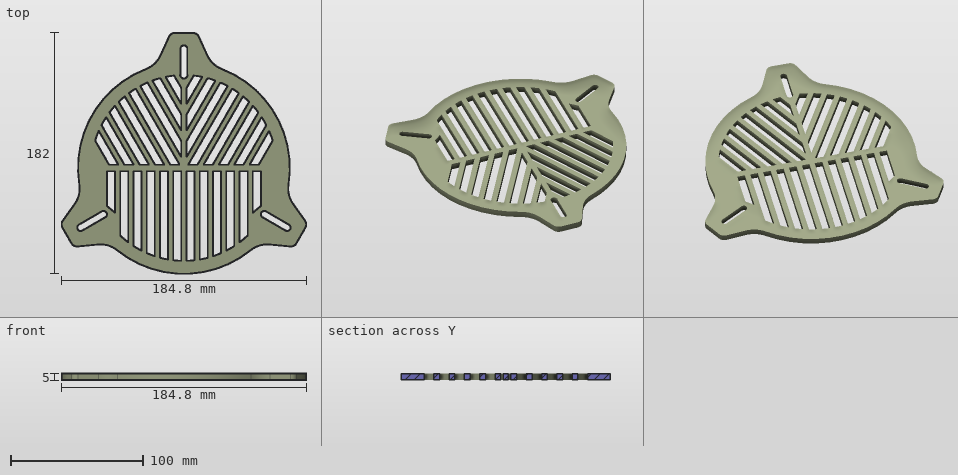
import cadquery as cq
import math

thickness = 5.0
disc_radius = 80.0
lug_angles = (90, 210, 330)
match_tolerance = 0.02

lug_tip_reach = 102.0
lug_tip_half_width = 10.0
lug_taper = math.radians(24.5)
lug_root_reach = 70.2
lug_tip_fillet = 5.0
lug_root_fillet = 20.0

lug_slot_width = 5.0
lug_slot_inner_center = 70.0
lug_slot_outer_center = 90.0

field_radius = 70.0
slit_width = 6.0
spine_width = 4.0
cross_bar_width = 5.0
straight_grille_half_width = 58.0
straight_slits_per_side = 6
first_to_last_slit = straight_grille_half_width - spine_width / 2 - slit_width
slit_pitch = first_to_last_slit / (straight_slits_per_side - 1)

outer_slit_outer_depth = 28.7
outer_slit_inner_depth = 33.6

slant_angle = 60
slant_middle_offset = 4.6
slanted_slits_beside_middle = 4


def make_lug():
    """Lug blank pointing along +Y, with its root buried in the disc."""
    root_half_width = lug_tip_half_width + (lug_tip_reach - lug_root_reach) * math.tan(lug_taper)
    outline = [
        (-root_half_width, lug_root_reach),
        (-lug_tip_half_width, lug_tip_reach),
        (lug_tip_half_width, lug_tip_reach),
        (root_half_width, lug_root_reach),
    ]
    lug = cq.Workplane("XY").polyline(outline).close().extrude(thickness)
    return lug.faces(">Y").edges("|Z").fillet(lug_tip_fillet)


def is_lug_root(edge):
    """True for the upright edges where a lug side meets the disc rim."""
    center = edge.Center()
    return abs(math.hypot(center.x, center.y) - disc_radius) < match_tolerance


def make_plate():
    """Disc and lugs; the disc is turned so that its seam lies under the +Y lug."""
    plate = cq.Workplane("XY").circle(disc_radius).extrude(thickness)
    plate = plate.rotate((0, 0, 0), (0, 0, 1), 90)
    lug = make_lug()
    for angle in lug_angles:
        plate = plate.union(lug.rotate((0, 0, 0), (0, 0, 1), angle - 90))
    return plate.edges("|Z").filter(is_lug_root).fillet(lug_root_fillet)


def make_lug_slots():
    """Radial round-ended slots, one per lug."""
    length = lug_slot_outer_center - lug_slot_inner_center + lug_slot_width
    middle = (lug_slot_inner_center + lug_slot_outer_center) / 2
    slots = cq.Workplane("XY")
    for angle in lug_angles:
        slot = cq.Workplane("XY").center(middle, 0).slot2D(length, lug_slot_width).extrude(thickness)
        slots = slots.add(slot.rotate((0, 0, 0), (0, 0, 1), angle))
    return slots.combine()


def make_field():
    """Round region that bounds every slit."""
    return cq.Workplane("XY").circle(field_radius).extrude(thickness)


def make_straight_slits():
    """Slits on the +X side, running from the cross bar toward -Y."""
    top = -cross_bar_width / 2
    slits = cq.Workplane("XY")
    for index in range(straight_slits_per_side):
        inner = spine_width / 2 + index * slit_pitch
        outer = inner + slit_width
        is_outermost = index == straight_slits_per_side - 1
        inner_end = -outer_slit_inner_depth if is_outermost else -field_radius
        outer_end = -outer_slit_outer_depth if is_outermost else -field_radius
        outline = [(inner, top), (outer, top), (outer, outer_end), (inner, inner_end)]
        slits = slits.add(cq.Workplane("XY").polyline(outline).close().extrude(thickness))
    return slits.combine().intersect(make_field())


def make_slanted_slits():
    """Slits on the +X side, between the spine and the rim above the cross bar."""
    slits = cq.Workplane("XY")
    for step in range(-slanted_slits_beside_middle, slanted_slits_beside_middle + 1):
        offset = step * slit_pitch - slant_middle_offset
        slit = cq.Workplane("XY").center(0, offset).rect(2 * field_radius, slit_width).extrude(thickness)
        slits = slits.add(slit.rotate((0, 0, 0), (0, 0, 1), slant_angle))
    quadrant = (
        cq.Workplane("XY")
        .moveTo(spine_width / 2, cross_bar_width / 2)
        .rect(field_radius, field_radius, centered=False)
        .extrude(thickness)
    )
    return slits.combine().intersect(quadrant).intersect(make_field())


result = make_plate().cut(make_lug_slots())
for half_grille in (make_straight_slits(), make_slanted_slits()):
    result = result.cut(half_grille).cut(half_grille.mirror("YZ"))